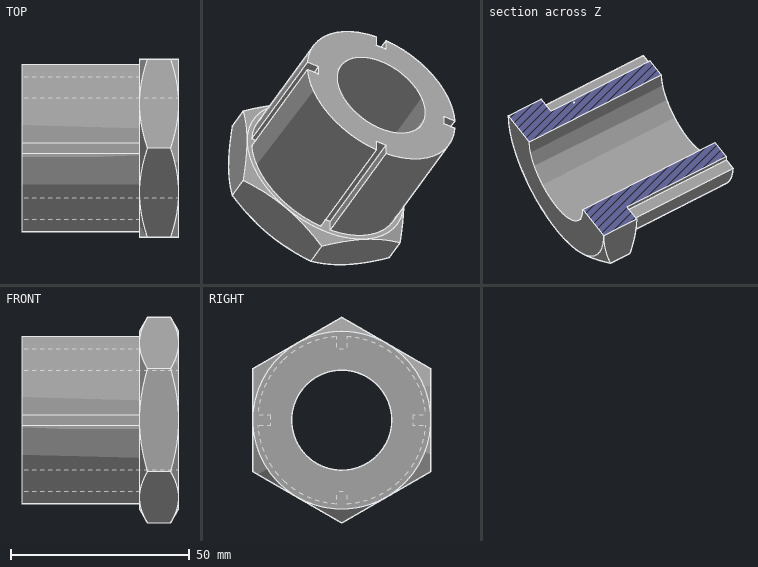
import cadquery as cq
import math

across_corners = 57.75
across_flats = across_corners * math.cos(math.radians(30))
total_length = 44.0
head_thickness = 11.0
body_diameter = 47.1
bore_diameter = 28.0
slot_width = 3.0
slot_floor_radius = 20.0
slot_count = 4
chamfer_angle = 30.0
chamfer_face_diameter = 49.9

body_length = total_length - head_thickness
corner_radius = across_corners / 2
chamfer_face_radius = chamfer_face_diameter / 2
chamfer_length = (corner_radius - chamfer_face_radius) * math.tan(math.radians(chamfer_angle))


def make_head():
    """Hexagonal head with corners up and down, chamfered conically on both faces."""
    hexagon = (
        cq.Workplane("YZ", origin=(body_length, 0, 0))
        .transformed(rotate=(0, 0, 90))
        .polygon(6, across_corners)
        .extrude(head_thickness)
    )
    envelope = (
        cq.Workplane("XZ")
        .moveTo(body_length, 0)
        .lineTo(body_length, chamfer_face_radius)
        .lineTo(body_length + chamfer_length, corner_radius)
        .lineTo(total_length - chamfer_length, corner_radius)
        .lineTo(total_length, chamfer_face_radius)
        .lineTo(total_length, 0)
        .close()
        .revolve(360, (0, 0, 0), (1, 0, 0))
    )
    return hexagon.intersect(envelope)


def make_slot(angle):
    """Cutter for one slot along the body, ending at the head."""
    slot_height = corner_radius - slot_floor_radius
    return (
        cq.Workplane("XY")
        .box(body_length, slot_width, slot_height, centered=(False, True, False))
        .translate((0, 0, slot_floor_radius))
        .rotate((0, 0, 0), (1, 0, 0), angle)
    )


body = cq.Workplane("YZ").circle(body_diameter / 2).extrude(body_length)
for index in range(slot_count):
    body = body.cut(make_slot(index * 360 / slot_count))

bore = cq.Workplane("YZ").circle(bore_diameter / 2).extrude(total_length)

result = body.union(make_head()).cut(bore)